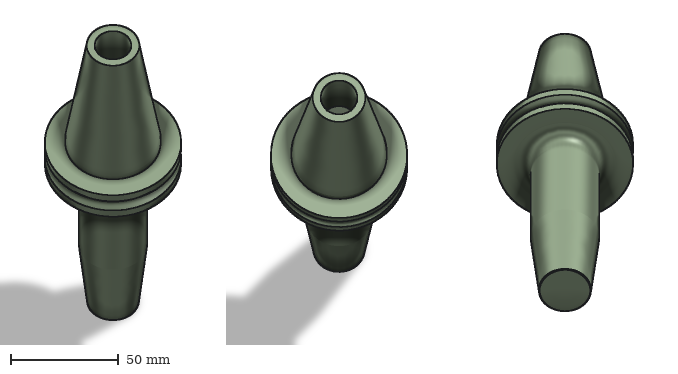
import cadquery as cq
import math

total_length = 188.4
nose_length = 42.4
flange_thickness = 15.8
collar_height = 3.2
shank_length = 68.4

flange_diameter = 63.5
gauge_diameter = 44.5
body_diameter = 32.0
nose_diameter = 24.3
nose_chamfer = 0.4
shank_taper = 7 / 24

groove_opening = 6.8
groove_floor_diameter = 56.3
groove_wall_angle = 30.0

body_fillet = 7.7

bore_diameter = 17.0
bore_depth = 32.0

flange_radius = flange_diameter / 2
gauge_radius = gauge_diameter / 2
body_radius = body_diameter / 2
nose_radius = nose_diameter / 2
groove_floor_radius = groove_floor_diameter / 2
shank_end_radius = (gauge_diameter - shank_length * shank_taper) / 2

gauge_z = total_length - shank_length
flange_top = gauge_z - collar_height
flange_bottom = flange_top - flange_thickness
groove_z = (flange_top + flange_bottom) / 2


def make_holder_body():
    """Revolve the half section of chamfered nose, body, flange, collar and tapered shank."""
    arc_offset = body_fillet * (1 - math.sqrt(0.5))
    half_section = (
        cq.Workplane("XZ")
        .lineTo(nose_radius - nose_chamfer, 0)
        .lineTo(nose_radius, nose_chamfer)
        .lineTo(body_radius, nose_length)
        .lineTo(body_radius, flange_bottom - body_fillet)
        .threePointArc(
            (body_radius + arc_offset, flange_bottom - arc_offset),
            (body_radius + body_fillet, flange_bottom),
        )
        .lineTo(flange_radius, flange_bottom)
        .lineTo(flange_radius, flange_top)
        .lineTo(gauge_radius, flange_top)
        .lineTo(gauge_radius, gauge_z)
        .lineTo(shank_end_radius, total_length)
        .lineTo(0, total_length)
        .close()
    )
    return half_section.revolve(360, (0, 0, 0), (0, 1, 0))


def make_groove():
    """Ring with sloped walls that is cut from the flange rim."""
    groove_depth = flange_radius - groove_floor_radius
    wall_height = groove_depth * math.tan(math.radians(groove_wall_angle))
    half_opening = groove_opening / 2
    half_floor = half_opening - wall_height
    section = cq.Workplane("XZ").polyline([
        (flange_radius, groove_z - half_opening),
        (groove_floor_radius, groove_z - half_floor),
        (groove_floor_radius, groove_z + half_floor),
        (flange_radius, groove_z + half_opening),
    ]).close()
    return section.revolve(360, (0, 0, 0), (0, 1, 0))


def make_bore():
    """Flat-bottomed bore running down from the small end of the shank."""
    return (
        cq.Workplane("XY")
        .workplane(offset=total_length - bore_depth)
        .circle(bore_diameter / 2)
        .extrude(bore_depth)
    )


result = make_holder_body().cut(make_groove()).cut(make_bore())